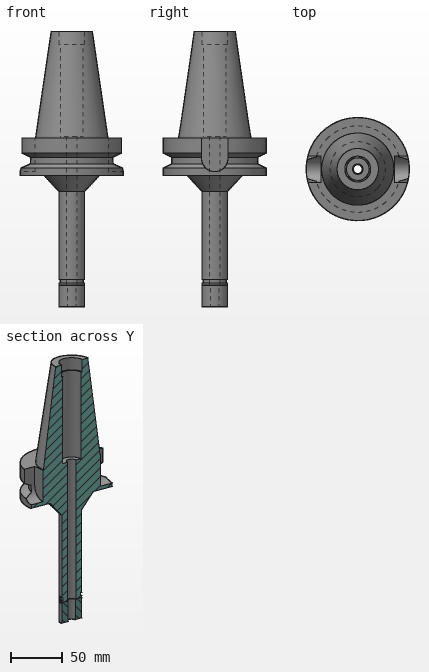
import cadquery as cq

total_height = 266.8

gauge_z = 165.0
taper_large_radius = 35.0
taper_small_radius = 20.0

flange_diameter = 100.0
flange_bottom_z = 127.0
flange_height = 36.5
lower_rim_height = 7.5
upper_rim_height = 14.7
v_groove_radius = 42.0
v_groove_bevel_height = 4.0
flange_radius = flange_diameter / 2
flange_top_z = flange_bottom_z + flange_height
lower_rim_z = flange_bottom_z + lower_rim_height
upper_rim_z = flange_top_z - upper_rim_height

slot_radius = 12.8
slot_floor_x = 35.5
slot_bottom_height = 4.0
slot_bottom_z = flange_bottom_z + slot_bottom_height
slot_arc_z = slot_bottom_z + slot_radius

shaft_radius = 12.5
cone_radius = 26.7
cone_height = 15.2
neck_radius = 11.2
neck_bottom_z = 23.2
neck_height = 3.2
neck_top_z = neck_bottom_z + neck_height

nut_height = 21.0
nut_bevel = 0.5

mouth_radius = 12.5
mouth_depth = 12.5
thread_radius = 11.0
thread_bottom_z = gauge_z
coolant_radius = 5.0
nut_hole_radius = 4.3


def make_blank():
    """Revolve the outer outline of the holder, from the nut seat to the shank end."""
    return (
        cq.Workplane("XZ")
        .moveTo(0, nut_height)
        .lineTo(shaft_radius, nut_height)
        .lineTo(shaft_radius, neck_bottom_z)
        .lineTo(neck_radius, neck_bottom_z)
        .lineTo(neck_radius, neck_top_z)
        .lineTo(shaft_radius, neck_top_z)
        .lineTo(shaft_radius, flange_bottom_z - cone_height)
        .lineTo(cone_radius, flange_bottom_z)
        .lineTo(flange_radius, flange_bottom_z)
        .lineTo(flange_radius, lower_rim_z)
        .lineTo(v_groove_radius, lower_rim_z + v_groove_bevel_height)
        .lineTo(v_groove_radius, upper_rim_z - v_groove_bevel_height)
        .lineTo(flange_radius, upper_rim_z)
        .lineTo(flange_radius, flange_top_z)
        .lineTo(taper_large_radius, flange_top_z)
        .lineTo(taper_large_radius, gauge_z)
        .lineTo(taper_small_radius, total_height)
        .lineTo(0, total_height)
        .close()
        .revolve(360, (0, 0, 0), (0, 1, 0))
    )


def make_slot_cutter():
    """Round-bottomed slot on the +X side, reaching from its floor out past the rim."""
    return (
        cq.Workplane("YZ", origin=(slot_floor_x, 0, 0))
        .moveTo(-slot_radius, gauge_z)
        .lineTo(-slot_radius, slot_arc_z)
        .threePointArc((0, slot_bottom_z), (slot_radius, slot_arc_z))
        .lineTo(slot_radius, gauge_z)
        .close()
        .extrude(flange_radius)
    )


def make_bore(radius, bottom_z):
    """Round cutter on the axis, from bottom_z up to the shank end."""
    return cq.Workplane("XY", origin=(0, 0, bottom_z)).circle(radius).extrude(total_height - bottom_z)


def make_holder():
    holder = make_blank()
    slot_cutter = make_slot_cutter()
    for angle in (0, 180):
        holder = holder.cut(slot_cutter.rotate((0, 0, 0), (0, 0, 1), angle))
    holder = holder.cut(make_bore(mouth_radius, total_height - mouth_depth))
    holder = holder.cut(make_bore(thread_radius, thread_bottom_z))
    return holder.cut(make_bore(coolant_radius, nut_height))


def make_nut():
    """Plain round nut seated against the lower end of the holder."""
    nut = cq.Workplane("XY").circle(shaft_radius).extrude(nut_height)
    nut = nut.faces(">Z").edges().chamfer(nut_bevel)
    return nut.cut(make_bore(nut_hole_radius, 0))


holder = make_holder()
nut = make_nut()
result = cq.Compound.makeCompound([holder.val(), nut.val()])